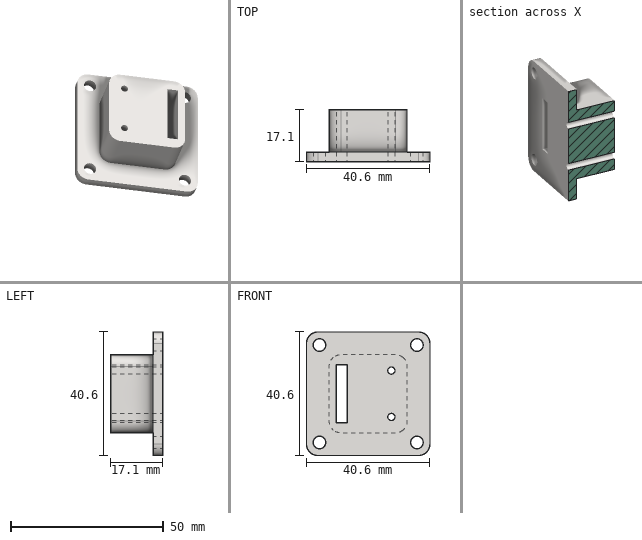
import cadquery as cq

flange_side = 40.64
flange_thickness = 3.175
corner_radius = 3.81

flange_margin = 7.5
boss_side = flange_side - 2 * flange_margin
overall_depth = 17.145

mounting_hole_diameter = 4.064
mounting_hole_pitch = 32.0

slot_width = 3.55
slot_height = 18.9
slot_center_x = -8.7

pin_hole_diameter = 2.286
pin_hole_pitch = 15.24
pin_hole_x = 7.62


def rounded_square(side, depth):
    """Square block with rounded Y edges, running from Y = 0 to Y = depth."""
    block = cq.Workplane("XY").box(side, depth, side, centered=(True, False, True))
    return block.edges("|Y").fillet(corner_radius)


def through_hole(diameter, x, z):
    """Cylinder along Y, long enough to pass through the whole part."""
    profile = cq.Workplane("XZ").center(x, z).circle(diameter / 2)
    return profile.extrude(-overall_depth)


def through_slot():
    """Rectangular bar along Y, long enough to pass through the whole part."""
    profile = cq.Workplane("XZ").center(slot_center_x, 0).rect(slot_width, slot_height)
    return profile.extrude(-overall_depth)


flange = rounded_square(flange_side, flange_thickness)
boss = rounded_square(boss_side, overall_depth)
result = flange.union(boss)

for side_x in (-1, 1):
    for side_z in (-1, 1):
        hole_x = side_x * mounting_hole_pitch / 2
        hole_z = side_z * mounting_hole_pitch / 2
        result = result.cut(through_hole(mounting_hole_diameter, hole_x, hole_z))

for side_z in (-1, 1):
    hole_z = side_z * pin_hole_pitch / 2
    result = result.cut(through_hole(pin_hole_diameter, pin_hole_x, hole_z))

result = result.cut(through_slot())